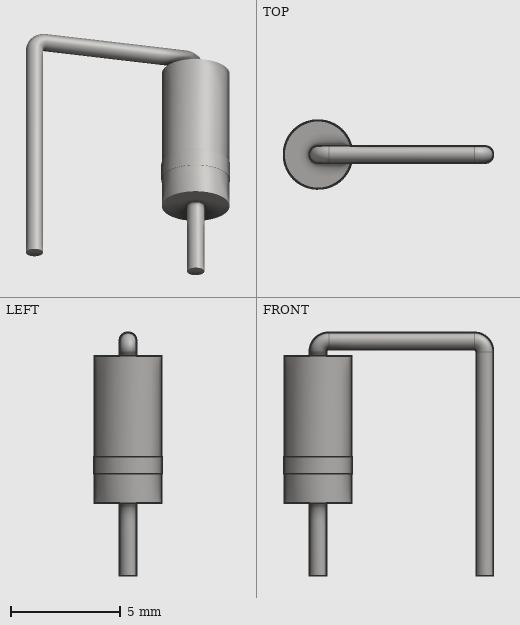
import cadquery as cq


lead_diameter = 0.79
lead_pitch = 7.62
lead_bend_radius = 0.49
body_diameter = 3.1
body_length = 6.72
band_diameter = 3.15
band_width = 0.78
band_offset = 1.33
lead_length_below = 3.32
overall_height = 11.12

lead_tip_z = -lead_length_below
arm_axis_z = overall_height - lead_length_below - lead_diameter / 2
bend_start_z = arm_axis_z - lead_bend_radius


def cylinder(diameter, bottom_z, height, x=0):
    """Upright cylinder centred at the given X."""
    return cq.Workplane("XY", origin=(x, 0, bottom_z)).circle(diameter / 2).extrude(height)


def make_body():
    """Cylindrical body with its slightly raised polarity band."""
    body = cylinder(body_diameter, 0, body_length)
    return body.union(cylinder(band_diameter, band_offset, band_width))


def make_bend(x, inward):
    """Quarter-torus elbow from an upright lead at X towards the arm; inward is +1 or -1 along X."""
    profile = cq.Workplane("XY", origin=(x, 0, bend_start_z)).circle(lead_diameter / 2)
    axis_x = inward * lead_bend_radius
    return profile.revolve(90, (axis_x, 0), (axis_x, inward))


def make_arm():
    """Horizontal lead section between the two elbows."""
    arm_length = lead_pitch - 2 * lead_bend_radius
    start = cq.Workplane("YZ", origin=(lead_bend_radius, 0, arm_axis_z))
    return start.circle(lead_diameter / 2).extrude(arm_length)


def make_leads():
    """Straight lead through the body, arm with two elbows, and return lead."""
    lead_height = bend_start_z - lead_tip_z
    leads = cylinder(lead_diameter, lead_tip_z, lead_height)
    leads = leads.union(make_bend(0, 1))
    leads = leads.union(make_arm())
    leads = leads.union(make_bend(lead_pitch, -1))
    return leads.union(cylinder(lead_diameter, lead_tip_z, lead_height, lead_pitch))


result = make_body().union(make_leads())